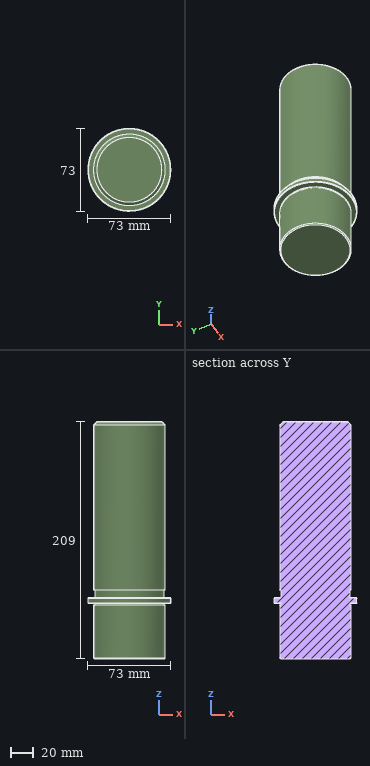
import cadquery as cq

total_height = 209.0
body_diameter = 63.0
relief_depth = 1.0
neck_diameter = body_diameter - 2 * relief_depth
collar_diameter = 73.0

lower_body_top = 47.5
collar_bottom = 49.0
collar_thickness = 5.0
upper_body_bottom = 61.0

top_chamfer = 3.0
bottom_chamfer = 1.0
collar_chamfer = 0.5


def cylinder(diameter, bottom, top):
    """Upright cylinder on the Z axis between two heights."""
    return cq.Workplane("XY").workplane(offset=bottom).circle(diameter / 2).extrude(top - bottom)


def lower_body():
    """Short spigot with a chamfered bottom edge."""
    return cylinder(body_diameter, 0, lower_body_top).faces("<Z").edges().chamfer(bottom_chamfer)


def upper_body():
    """Long pillar with a chamfered top edge."""
    return cylinder(body_diameter, upper_body_bottom, total_height).faces(">Z").edges().chamfer(top_chamfer)


def neck():
    """Relief neck joining the two bodies and carrying the collar."""
    return cylinder(neck_diameter, lower_body_top, upper_body_bottom)


def collar():
    """Projecting ring with both rims chamfered."""
    ring = cylinder(collar_diameter, collar_bottom, collar_bottom + collar_thickness)
    return ring.edges("%CIRCLE").chamfer(collar_chamfer)


result = lower_body().union(neck()).union(collar()).union(upper_body())